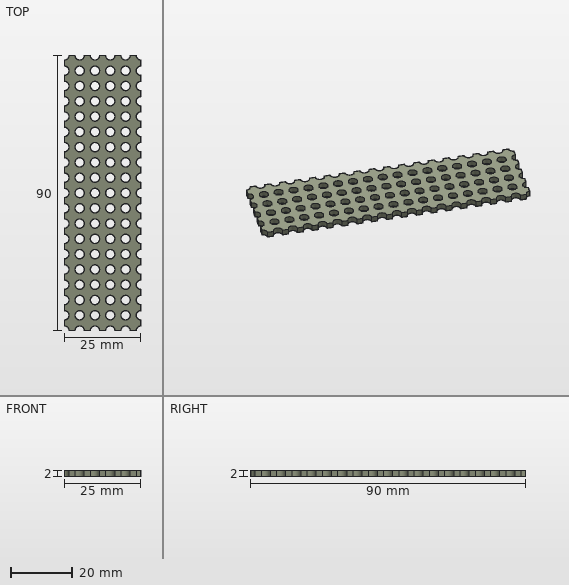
import cadquery as cq

length = 90.0
thickness = 2.0
columns = 5
rows = 18
hole_diameter = 3.0

pitch = length / rows
width = columns * pitch


def make_plate():
    """Flat rectangular plate centred in X and Y, with its underside at Z = 0."""
    return cq.Workplane("XY").box(width, length, thickness, centered=(True, True, False))


def make_hole_cutters():
    """Cylinders at every grid node: full holes inside, half notches on edges, quarter notches at corners."""
    nodes = cq.Workplane("XY").rarray(pitch, pitch, columns + 1, rows + 1)
    return nodes.circle(hole_diameter / 2).extrude(thickness)


result = make_plate().cut(make_hole_cutters())